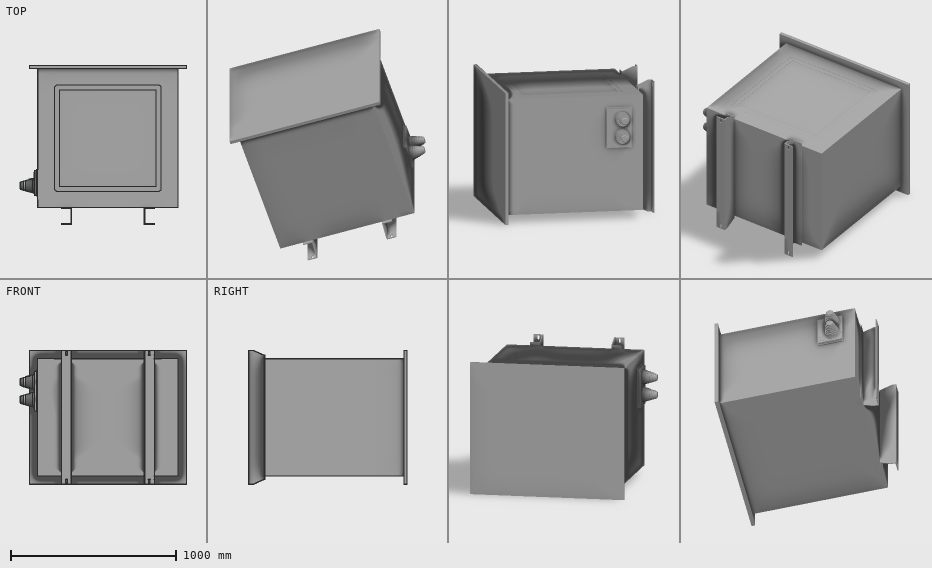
import cadquery as cq

body_width = 850.0
body_depth = 840.0
body_height = 710.0

flange_width = 950.0
flange_height = 810.0
flange_thickness = 20.0

panel_size = 644.0
panel_corner = 12.0
panel_inner_size = 584.0
panel_step = 1.0

rail_inner_x = 219.0
rail_width = 61.0
rail_depth = 101.0
rail_sheet = 5.0
rail_rear_height = 751.0
rail_slope_end = 70.0
slot_width = 11.0
slot_length = 26.0
slot_inset = 19.0

entry_y = 150.0
entry_z = 160.0
entry_plate_width = 160.0
entry_plate_height = 251.0
entry_plate_thickness = 7.0
tab_width = 21.0
tab_thickness = 1.0
tab_hole_diameter = 6.0
tab_hole_offset = 10.0
box_width = 151.0
box_height = 238.0
box_projection = 20.0
box_z = 158.0
pad_width = 127.0
pad_height = 217.0
pad_corner = 20.0
pad_thickness = 1.0

grommet_y = 133.0
grommet_pitch = 107.0
grommet_projection = 107.0
grommet_tip_radius = 22.0
grommet_tip_chamfer = 4.0
grommet_steps = 7
grommet_foot_radius = 42.0
grommet_flare_radius = 45.0
grommet_flare_length = 7.0
grommet_collar_radius = 48.0
grommet_collar_thickness = 3.0

left_x = -body_width / 2


def side_block(width, height, projection, center_y, center_z):
    """Block standing out from the left side of the body."""
    return (
        cq.Workplane("YZ", origin=(left_x, center_y, center_z))
        .rect(width, height)
        .extrude(-projection)
    )


def make_body():
    """Cabinet with its back flange and the stepped panel sunk into its top."""
    body = cq.Workplane("XY").box(body_width, body_depth, body_height)
    flange = (
        cq.Workplane("XY")
        .box(flange_width, flange_thickness, flange_height)
        .translate((0, (body_depth + flange_thickness) / 2, 0))
    )
    body = body.union(flange).translate((0, body_depth / 2, 0))
    top = cq.Workplane("XY", origin=(0, body_depth / 2, body_height / 2))
    panel = top.rect(panel_size, panel_size).extrude(-panel_step).edges("|Z").chamfer(panel_corner)
    inner_panel = top.rect(panel_inner_size, panel_inner_size).extrude(-2 * panel_step)
    return body.cut(panel).cut(inner_panel)


def make_rail():
    """Right-hand rail: a channel open to +X whose web tapers towards the body at both ends."""
    half_front = flange_height / 2
    half_rear = rail_rear_height / 2
    channel = (
        cq.Workplane("XY", origin=(rail_inner_x, 0, -half_front))
        .rect(rail_width, -rail_depth, centered=False)
        .extrude(flange_height)
    )
    hollow = (
        cq.Workplane("XY", origin=(rail_inner_x + rail_sheet, -rail_sheet, -half_front))
        .rect(rail_width, 2 * rail_sheet - rail_depth, centered=False)
        .extrude(flange_height)
    )
    side_outline = (
        cq.Workplane("YZ", origin=(rail_inner_x, 0, 0))
        .polyline([
            (0, half_rear),
            (-rail_sheet, half_rear),
            (-rail_slope_end, half_front),
            (-rail_depth, half_front),
            (-rail_depth, -half_front),
            (-rail_slope_end, -half_front),
            (-rail_sheet, -half_rear),
            (0, -half_rear),
        ])
        .close()
        .extrude(rail_width)
    )
    slot_z = half_front - slot_inset
    slots = (
        cq.Workplane("XZ", origin=(rail_inner_x + rail_width / 2, rail_sheet - rail_depth, 0))
        .pushPoints([(0, slot_z), (0, -slot_z)])
        .slot2D(slot_length, slot_width, 90)
        .extrude(rail_sheet)
    )
    return channel.cut(hollow).intersect(side_outline).cut(slots)


def make_entry_box():
    """Plate with a thin drilled tab towards the front, carrying a box and its rounded pad."""
    plate = side_block(entry_plate_width, entry_plate_height, entry_plate_thickness, entry_y, entry_z)
    tab_y = entry_y - (entry_plate_width + tab_width) / 2
    tab = side_block(tab_width, entry_plate_height, tab_thickness, tab_y, entry_z)
    tab_hole = (
        cq.Workplane("YZ", origin=(left_x, tab_y + tab_width / 2 - tab_hole_offset, entry_z))
        .circle(tab_hole_diameter / 2)
        .extrude(-tab_thickness)
    )
    box = side_block(box_width, box_height, box_projection, entry_y, box_z)
    pad = side_block(pad_width, pad_height, box_projection + pad_thickness, entry_y, entry_z)
    pad = pad.edges("|X").fillet(pad_corner)
    return plate.union(tab.cut(tab_hole)).union(box).union(pad)


def make_grommet(center_z):
    """Turned sleeve with a collar and a flare at its foot, narrowing in steps to a chamfered tip."""
    length = grommet_projection - box_projection
    flare_end = grommet_collar_thickness + grommet_flare_length
    step_length = (length - flare_end) / grommet_steps
    radius_step = (grommet_foot_radius - grommet_tip_radius) / (grommet_steps - 1)
    outline = (
        cq.Workplane("XY")
        .lineTo(0, grommet_collar_radius)
        .lineTo(-grommet_collar_thickness, grommet_collar_radius)
        .lineTo(-grommet_collar_thickness, grommet_flare_radius)
    )
    for step in range(grommet_steps):
        radius = grommet_foot_radius - step * radius_step
        outline = outline.lineTo(-flare_end - step * step_length, radius)
        outline = outline.lineTo(-flare_end - (step + 1) * step_length, radius)
    grommet = outline.lineTo(-length, 0).close().revolve(360, (0, 0, 0), (1, 0, 0))
    grommet = grommet.faces("<X").chamfer(grommet_tip_chamfer)
    return grommet.translate((left_x - box_projection, grommet_y, center_z))


rail = make_rail()
result = make_body().union(rail).union(rail.mirror("YZ")).union(make_entry_box())
for side in (1, -1):
    result = result.union(make_grommet(entry_z + side * grommet_pitch / 2))